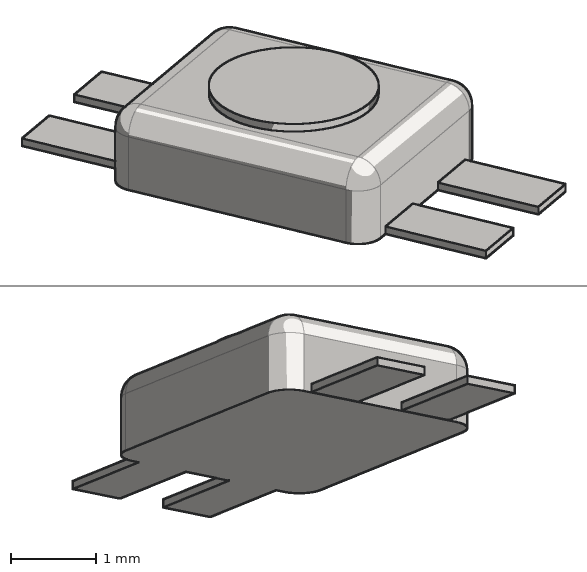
import cadquery as cq

housing_length = 3.5
housing_width = 2.8
housing_height = 1.0
edge_radius = 0.3

pad_diameter = 2.0
pad_height = 0.1

lead_length = 1.34
lead_width = 0.68
lead_thickness = 0.1
lead_pitch = 1.3
lead_center_y = 0.01
lead_positions = [lead_center_y - lead_pitch / 2, lead_center_y + lead_pitch / 2]

loose_lead_gap = 0.01
loose_lead_start_x = -housing_length / 2 - loose_lead_gap - lead_length
fixed_lead_start_x = housing_length / 2


def make_lead(start_x, center_y):
    """One flat lead that runs from start_x toward +X, centred on center_y."""
    return (
        cq.Workplane("XY", origin=(start_x, center_y, 0))
        .box(lead_length, lead_width, lead_thickness, centered=(False, True, False))
    )


def make_housing():
    """Rounded block with its raised pad and the two +X leads."""
    block = (
        cq.Workplane("XY")
        .rect(housing_length, housing_width)
        .extrude(housing_height)
        .edges("|Z or >Z")
        .fillet(edge_radius)
    )
    pad = (
        cq.Workplane("XY", origin=(0, 0, housing_height))
        .circle(pad_diameter / 2)
        .extrude(pad_height)
    )
    body = block.union(pad)
    for center_y in lead_positions:
        body = body.union(make_lead(fixed_lead_start_x, center_y))
    return body


housing = make_housing()
loose_leads = [make_lead(loose_lead_start_x, center_y) for center_y in lead_positions]

result = cq.Compound.makeCompound([housing.val(), *[lead.val() for lead in loose_leads]])